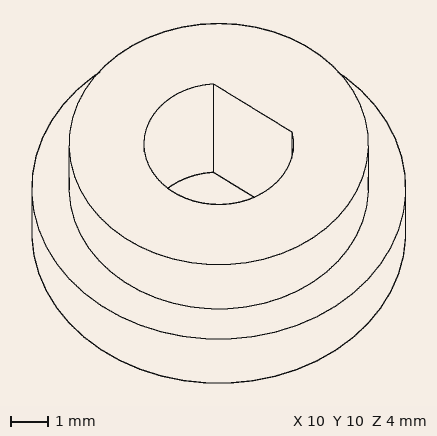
import cadquery as cq

flange_diameter = 10
hub_diameter = 8
bore_diameter = 4
flange_height = 2
hub_height = 2
flat_offset = 1.5

total_height = flange_height + hub_height


def d_shaped_bore():
    """Round through bore cut off by a flat facing -Y."""
    bore_radius = bore_diameter / 2
    bore = cq.Workplane("XY").circle(bore_radius).extrude(total_height)
    below_flat = (
        cq.Workplane("XY")
        .center(0, (flat_offset - bore_radius) / 2)
        .rect(bore_diameter, bore_radius + flat_offset)
        .extrude(total_height)
    )
    return bore.intersect(below_flat)


flange = cq.Workplane("XY").circle(flange_diameter / 2).extrude(flange_height)
stepped_body = flange.faces(">Z").workplane().circle(hub_diameter / 2).extrude(hub_height)

result = stepped_body.cut(d_shaped_bore())